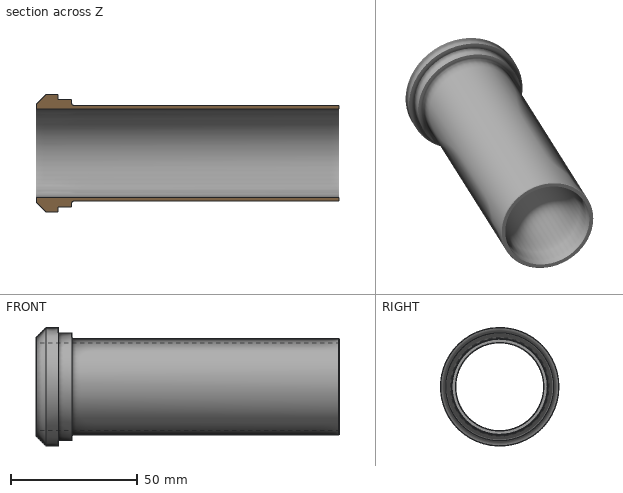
import cadquery as cq

length = 119.9
tube_radius = 38.1 / 2
bore_radius = 34.8 / 2
tube_end_chamfer = 0.2
bore_mouth_chamfer = 0.1

collar_radius = 46.9 / 2
collar_end = 8.7
collar_bevel = 4.0

shoulder_radius = 42.7 / 2
shoulder_end = 14.1
root_fillet = 0.7


def wall_profile():
    """Half section of the tube wall: X along the axis, Y as radius."""
    return (
        cq.Workplane("XY")
        .moveTo(bore_mouth_chamfer, bore_radius)
        .lineTo(0, bore_radius + bore_mouth_chamfer)
        .lineTo(0, collar_radius - collar_bevel)
        .lineTo(collar_bevel, collar_radius)
        .lineTo(collar_end, collar_radius)
        .lineTo(collar_end, shoulder_radius)
        .lineTo(shoulder_end, shoulder_radius)
        .lineTo(shoulder_end, tube_radius + root_fillet)
        .radiusArc((shoulder_end + root_fillet, tube_radius), -root_fillet)
        .lineTo(length - tube_end_chamfer, tube_radius)
        .lineTo(length, tube_radius - tube_end_chamfer)
        .lineTo(length, bore_radius)
        .close()
    )


result = wall_profile().revolve(360, (0, 0, 0), (1, 0, 0))